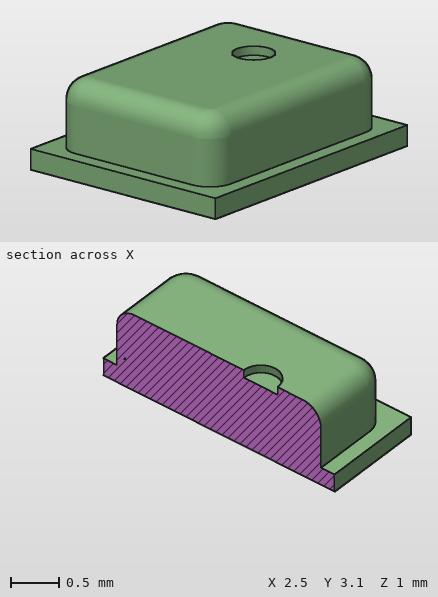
import cadquery as cq

base_width = 2.5
base_length = 3.1
base_thickness = 0.23
total_height = 1.0

lid_margin = 0.18
lid_width = base_width - 2 * lid_margin
lid_length = base_length - 2 * lid_margin
lid_height = total_height - base_thickness
lid_corner_radius = 0.28
lid_top_fillet = 0.248

port_diameter = 0.45
port_offset_y = 0.56
port_depth = 0.1


def make_base():
    """Flat rectangular plate resting on Z = 0."""
    return cq.Workplane("XY").box(
        base_width, base_length, base_thickness, centered=(True, True, False)
    )


def make_lid():
    """Block with rounded vertical corners and a rounded top rim."""
    block = cq.Workplane("XY", origin=(0, 0, base_thickness)).box(
        lid_width, lid_length, lid_height, centered=(True, True, False)
    )
    return block.edges("|Z").fillet(lid_corner_radius).faces(">Z").edges().fillet(lid_top_fillet)


def make_port():
    """Cylinder removed from the lid to form the port."""
    return (
        cq.Workplane("XY", origin=(0, port_offset_y, total_height - port_depth))
        .circle(port_diameter / 2)
        .extrude(port_depth)
    )


result = make_base().union(make_lid()).cut(make_port())